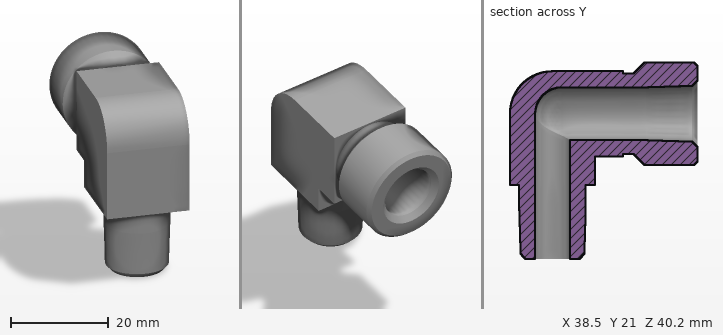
import cadquery as cq
import math

THREAD_TAPER = 1 / 16


body_width = 17.5
half_width = body_width / 2
body_left_reach = 14.5
body_bottom_reach = 14.65
outer_bend_radius = half_width

socket_reach = 29.7
collar_radius = 10.5
collar_chamfer = 0.75
collar_length = 10.9
neck_radius = 8.3
collar_back_angle = 45.0

mouth_radius = 6.8
thread_bore_radius = 5.65
mouth_half_angle = 45.0
thread_depth = 10.5

spigot_reach = 29.7
spigot_radius = 6.85
spigot_plain_length = 4.85
tip_radius = 5.55
tip_chamfer_length = 1.1
spigot_bore_radius = 3.5


def make_body():
    """L-shaped block with a rounded outer corner."""
    outline = (
        cq.Workplane("XZ")
        .moveTo(-body_left_reach, half_width)
        .lineTo(half_width - outer_bend_radius, half_width)
        .radiusArc((half_width, half_width - outer_bend_radius), outer_bend_radius)
        .lineTo(half_width, -body_bottom_reach)
        .lineTo(-half_width, -body_bottom_reach)
        .lineTo(-half_width, -half_width)
        .lineTo(-body_left_reach, -half_width)
        .close()
    )
    return outline.extrude(half_width, both=True)


def turn_about_x(profile):
    """Revolve (x, radius) points, closed along the socket axis."""
    return cq.Workplane("XZ").polyline(profile).close().revolve(360, (0, 0), (1, 0))


def turn_about_z(profile):
    """Revolve (radius, z) points, closed along the spigot axis."""
    return cq.Workplane("XZ").polyline(profile).close().revolve(360, (0, 0), (0, 1))


def make_socket():
    """Chamfered collar with a conical back that runs down to the neck."""
    mouth_x = -socket_reach
    collar_end_x = mouth_x + collar_length
    cone_length = (collar_radius - neck_radius) / math.tan(math.radians(collar_back_angle))
    return turn_about_x([
        (mouth_x, 0),
        (mouth_x, collar_radius - collar_chamfer),
        (mouth_x + collar_chamfer, collar_radius),
        (collar_end_x, collar_radius),
        (collar_end_x + cone_length, neck_radius),
        (-body_left_reach, neck_radius),
        (-body_left_reach, 0),
    ])


def make_spigot():
    """Plain shank followed by the tapered thread blank and its chamfered tip."""
    shank_end_z = -body_bottom_reach - spigot_plain_length
    tip_z = -spigot_reach
    taper_end_z = tip_z + tip_chamfer_length
    taper_end_radius = spigot_radius - (shank_end_z - taper_end_z) * THREAD_TAPER / 2
    return turn_about_z([
        (0, -body_bottom_reach),
        (spigot_radius, -body_bottom_reach),
        (spigot_radius, shank_end_z),
        (taper_end_radius, taper_end_z),
        (tip_radius, tip_z),
        (0, tip_z),
    ])


def make_socket_bore():
    """Conical mouth, tapered thread bore and straight bore with a hemispherical end."""
    mouth_x = -socket_reach
    mouth_cone_length = (mouth_radius - thread_bore_radius) / math.tan(math.radians(mouth_half_angle))
    thread_start_x = mouth_x + mouth_cone_length
    thread_end_x = mouth_x + thread_depth
    flow_bore_radius = thread_bore_radius - (thread_end_x - thread_start_x) * THREAD_TAPER / 2
    dome_center_x = spigot_bore_radius - flow_bore_radius
    bore = turn_about_x([
        (mouth_x, 0),
        (mouth_x, mouth_radius),
        (thread_start_x, thread_bore_radius),
        (thread_end_x, flow_bore_radius),
        (dome_center_x, flow_bore_radius),
        (dome_center_x, 0),
    ])
    dome = cq.Workplane("XY").sphere(flow_bore_radius).translate((dome_center_x, 0, 0))
    return bore.union(dome)


def make_spigot_bore():
    """Straight bore from the spigot tip up to the socket axis."""
    return cq.Workplane("XY").circle(spigot_bore_radius).extrude(-spigot_reach)


outside = make_body().union(make_socket()).union(make_spigot())
result = outside.cut(make_socket_bore()).cut(make_spigot_bore())